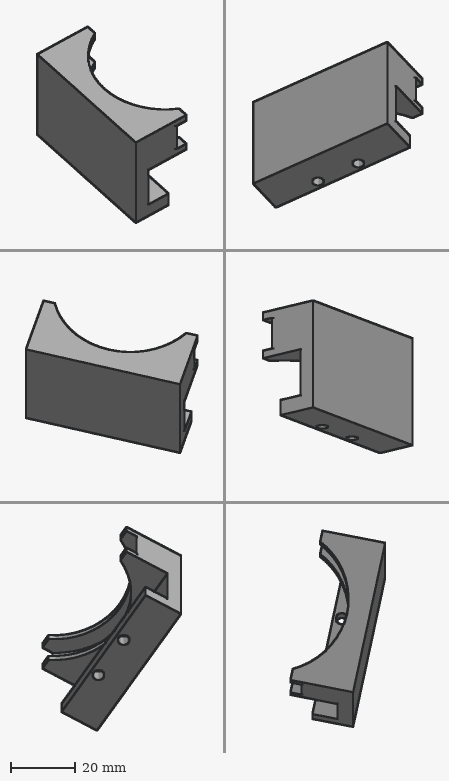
import cadquery as cq

width = 50.0
depth = 20.0
height = 35.0

back_thickness = 5.0
foot_thickness = 5.0
foot_depth = 13.0
cradle_height = 15.0

cradle_radius = 24.0
cradle_floor = 7.06
cradle_axis_y = cradle_floor + cradle_radius

groove_extra_radius = 5.0
groove_height = 10.0

hole_diameter = 3.6
hole_spacing = 15.0
hole_y = 10.25

cradle_bottom = height - cradle_height
groove_radius = cradle_radius + groove_extra_radius
groove_bottom = cradle_bottom + (cradle_height - groove_height) / 2


def make_body():
    """Side profile of back, foot and cradle block, extruded across the width."""
    outline = [
        (0, 0),
        (foot_depth, 0),
        (foot_depth, foot_thickness),
        (back_thickness, foot_thickness),
        (back_thickness, cradle_bottom),
        (depth, cradle_bottom),
        (depth, height),
        (0, height),
    ]
    return cq.Workplane("YZ").polyline(outline).close().extrude(width / 2, both=True)


def upright_cylinder(x, y, bottom, radius, length):
    """Solid cylinder with a vertical axis, used as a cutter."""
    return cq.Workplane("XY", origin=(x, y, bottom)).circle(radius).extrude(length)


def make_cradle_cutter():
    """Cradle bore joined with its concentric groove."""
    bore = upright_cylinder(0, cradle_axis_y, cradle_bottom, cradle_radius, cradle_height)
    groove = upright_cylinder(0, cradle_axis_y, groove_bottom, groove_radius, groove_height)
    return bore.union(groove)


def cut_foot_holes(body):
    """Pair of screw holes straight through the foot."""
    for x in (-hole_spacing / 2, hole_spacing / 2):
        body = body.cut(upright_cylinder(x, hole_y, 0, hole_diameter / 2, foot_thickness))
    return body


result = cut_foot_holes(make_body().cut(make_cradle_cutter()))